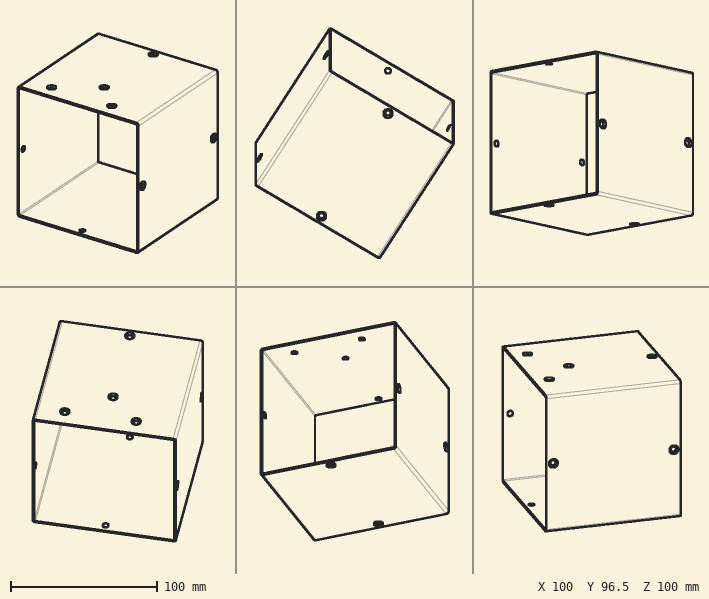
import cadquery as cq

width = 100.0
length = 96.46
wall = 1.25
outer_corner_radius = 2.0
inner_corner_radius = outer_corner_radius - wall

countersink_diameter = 6.3
hole_diameter = 3.75

edge_distance = 5.0

front_row_distance = 11.5
rear_row_distance = 31.7
front_row_left_x = -29.75
front_row_right_x = 20.0

half_width = width / 2
front_y = -length / 2
rear_y = length / 2
front_row_y = front_y + front_row_distance
rear_row_y = front_y + rear_row_distance
front_fixing_y = front_y + edge_distance
rear_fixing_y = rear_y - edge_distance


def rounded_square_bar(side, corner_radius):
    return cq.Workplane("XY").box(side, length, side).edges("|Y").fillet(corner_radius)


def square_tube():
    outer = rounded_square_bar(width, outer_corner_radius)
    bore = rounded_square_bar(width - 2 * wall, inner_corner_radius)
    return outer.cut(bore)


def countersunk_hole(position, inward):
    """Cone that narrows from the outer face at position to the inner face of the wall."""
    cone = cq.Solid.makeCone(
        countersink_diameter / 2,
        hole_diameter / 2,
        wall,
        pnt=cq.Vector(*position),
        dir=cq.Vector(*inward),
    )
    return cq.Workplane(cone)


def top_hole(x, y):
    return countersunk_hole((x, y, half_width), (0, 0, -1))


def bottom_hole(y):
    return countersunk_hole((0, y, -half_width), (0, 0, 1))


def side_hole(side, y):
    return countersunk_hole((side * half_width, y, 0), (-side, 0, 0))


result = square_tube()

for y in (front_fixing_y, rear_fixing_y):
    result = result.cut(side_hole(-1, y))
    result = result.cut(side_hole(1, y))
    result = result.cut(bottom_hole(y))

result = result.cut(top_hole(0, rear_fixing_y))

for x, y in (
    (0, rear_row_y),
    (front_row_left_x, front_row_y),
    (front_row_right_x, front_row_y),
):
    result = result.cut(top_hole(x, y))